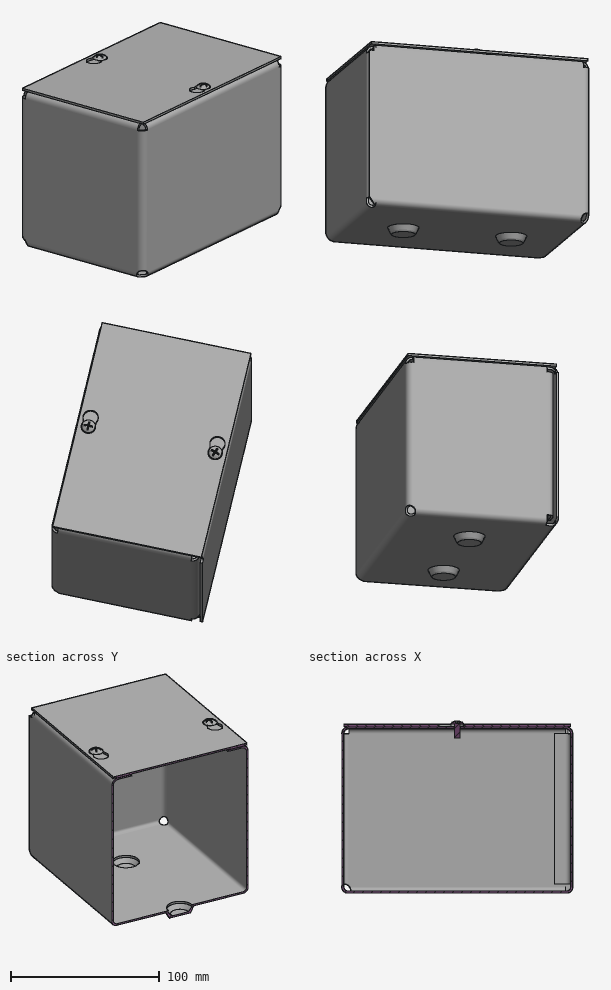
import cadquery as cq
import math

box_width = 104.9
box_length = 155.5
box_height = 112.2
sheet = 1.5
bend_radius = 4.8
bottom_bend_radius = 4.0
rim_width = 15.5
half_width = box_width / 2
half_length = box_length / 2

relief_radius = 4.7
relief_inset = 1.5
relief_top = relief_inset + relief_radius

tab_inset = 3.0
tab_length = 12.5
seam_top_notch = 3.1
seam_bottom_notch_length = 4.0
seam_bottom_notch_height = 5.1

foot_spacing = 75.9
foot_height = 4.7
foot_base_radius = 10.6
foot_edge_radius = 8.7
foot_tip_radius = 8.0
foot_tip_chamfer = 1.0
foot_wall = 1.5

cover_width = 102.7
cover_length = 152.5
cover_thickness = 1.5
keyhole_diameter = 10.3
keyhole_slot_width = 8.7
keyhole_travel = 7.0
cover_top = box_height + cover_thickness

screw_spacing = 87.5
head_diameter = 9.8
head_height = 2.3
shank_diameter = 3.7
shank_length = 9.3
recess_length = 5.8
recess_width = 0.8
recess_depth = 1.5
left_screw_angle = -20.0
right_screw_angle = 0.0
screw_positions = (-screw_spacing / 2, screw_spacing / 2)
recess_angles = (left_screw_angle, right_screw_angle)


def block(x_range, y_range, z_range):
    """Box between pairs of limits along X, Y and Z."""
    size = [max(limits) - min(limits) for limits in (x_range, y_range, z_range)]
    corner = (min(x_range), min(y_range), min(z_range))
    return cq.Workplane("XY").box(*size, centered=False).translate(corner)


def rounded_block(inset):
    """Box envelope shrunk by inset, all edges rounded except the vertical (-X, +Y) seam edge."""
    return (
        cq.Workplane("XY", origin=(0, 0, inset))
        .box(
            box_width - 2 * inset,
            box_length - 2 * inset,
            box_height - 2 * inset,
            centered=(True, True, False),
        )
        .edges("(|Z and (>X or <Y)) or >Z")
        .fillet(bend_radius - inset)
        .edges("<Z")
        .fillet(bottom_bend_radius - inset)
    )


def top_corner_notch(side_x, side_y):
    """Square notch that separates the three bends at a top corner."""
    return block(
        (side_x * (half_width - bend_radius), side_x * half_width),
        (side_y * (half_length - bend_radius), side_y * half_length),
        (box_height - bend_radius, box_height),
    )


def bottom_corner_relief(side_x, side_y):
    """Round relief through the three sheets that meet at a bottom corner."""
    centre = (
        side_x * (half_width - relief_inset),
        side_y * (half_length - relief_inset),
        relief_inset,
    )
    return cq.Workplane("XY").sphere(relief_radius).translate(centre)


def cut_corners(box):
    """Separate the bends at every corner except those on the open seam."""
    for side_x, side_y in [(-1, -1), (1, -1), (1, 1)]:
        box = box.cut(top_corner_notch(side_x, side_y))
        box = box.cut(bottom_corner_relief(side_x, side_y))
    return box


def open_seam(box):
    """Free the back wall from the -X wall and notch the ends of the -X wall."""
    wall_inner_x = -half_width + sheet
    tab_bend_end_x = -half_width + tab_inset + bend_radius
    bend_start_y = half_length - bend_radius
    gap = block((wall_inner_x, tab_bend_end_x), (bend_start_y, half_length), (0, box_height))
    top_notch = block(
        (-half_width, tab_bend_end_x),
        (half_length - seam_top_notch, half_length),
        (box_height - bend_radius, box_height),
    )
    bottom_notch = (
        cq.Workplane("YZ", origin=(-half_width, 0, 0))
        .moveTo(half_length, 0)
        .lineTo(half_length, seam_bottom_notch_height)
        .lineTo(half_length - seam_bottom_notch_length, 0)
        .close()
        .extrude(bend_radius)
    )
    return box.cut(gap).cut(top_notch).cut(bottom_notch)


def seam_tab():
    """Tab bent forward from the back wall, just inside the -X wall."""
    tab_x = -half_width + tab_inset
    bend_end_x = tab_x + bend_radius
    bend_start_y = half_length - bend_radius
    tab_end_y = half_length - tab_length
    tab_height = box_height - bend_radius - relief_top
    mid_bend = bend_radius * math.sqrt(0.5)
    inner_mid_bend = (bend_radius - sheet) * math.sqrt(0.5)
    return (
        cq.Workplane("XY", origin=(0, 0, relief_top))
        .moveTo(bend_end_x, half_length)
        .threePointArc((bend_end_x - mid_bend, bend_start_y + mid_bend), (tab_x, bend_start_y))
        .lineTo(tab_x, tab_end_y)
        .lineTo(tab_x + sheet, tab_end_y)
        .lineTo(tab_x + sheet, bend_start_y)
        .threePointArc(
            (bend_end_x - inner_mid_bend, bend_start_y + inner_mid_bend),
            (bend_end_x, half_length - sheet),
        )
        .close()
        .extrude(tab_height)
    )


def foot_cone(base_radius, edge_radius, tip_radius, tip_z):
    """Tapered plug from the floor's inner face down to tip_z, with a chamfered tip."""
    return (
        cq.Workplane("XZ")
        .moveTo(0, sheet)
        .lineTo(base_radius, sheet)
        .lineTo(base_radius, 0)
        .lineTo(edge_radius, tip_z + foot_tip_chamfer)
        .lineTo(tip_radius, tip_z)
        .lineTo(0, tip_z)
        .close()
        .revolve(360, (0, 0, 0), (0, 1, 0))
    )


def press_feet(box):
    """Add both feet on the length centreline, open towards the inside of the box."""
    outside = foot_cone(foot_base_radius, foot_edge_radius, foot_tip_radius, -foot_height)
    inside = foot_cone(
        foot_base_radius - foot_wall,
        foot_edge_radius - foot_wall,
        foot_tip_radius - foot_wall,
        -foot_height + foot_wall,
    )
    for foot_y in (-foot_spacing / 2, foot_spacing / 2):
        box = box.union(outside.translate((0, foot_y, 0)))
        box = box.cut(inside.translate((0, foot_y, 0)))
    return box


def screw_shank(screw_x):
    """Shank cylinder, also the shape of its hole in the box rim."""
    return (
        cq.Workplane("XY", origin=(screw_x, 0, cover_top - shank_length))
        .circle(shank_diameter / 2)
        .extrude(shank_length)
    )


def make_box():
    """Folded box with an inward rim around its top opening."""
    opening = (
        cq.Workplane("XY", origin=(0, 0, box_height - sheet))
        .rect(box_width - 2 * rim_width, box_length - 2 * rim_width)
        .extrude(sheet)
    )
    box = rounded_block(0).cut(rounded_block(sheet)).cut(opening)
    box = cut_corners(box)
    box = open_seam(box).union(seam_tab())
    box = press_feet(box)
    for screw_x in screw_positions:
        box = box.cut(screw_shank(screw_x))
    return box


def keyhole(screw_x):
    """Slot at the screw that opens into a hole large enough for the screw head."""
    plane = cq.Workplane("XY", origin=(screw_x, 0, box_height))
    slot_end = plane.circle(keyhole_slot_width / 2).extrude(cover_thickness)
    slot = (
        plane.center(0, -keyhole_travel / 2)
        .rect(keyhole_slot_width, keyhole_travel)
        .extrude(cover_thickness)
    )
    head_hole = (
        plane.center(0, -keyhole_travel)
        .circle(keyhole_diameter / 2)
        .extrude(cover_thickness)
    )
    return slot_end.union(slot).union(head_hole)


def make_cover():
    """Flat plate lying on the rim of the box."""
    cover = (
        cq.Workplane("XY", origin=(0, 0, box_height))
        .rect(cover_width, cover_length)
        .extrude(cover_thickness)
    )
    for screw_x in screw_positions:
        cover = cover.cut(keyhole(screw_x))
    return cover


def make_screw(screw_x, recess_angle):
    """Domed head resting on the cover, cross recess, and shank down through the rim."""
    head_radius = head_diameter / 2
    dome_radius = (head_radius**2 + head_height**2) / (2 * head_height)
    dome_centre_z = cover_top + head_height - dome_radius
    dome = cq.Workplane("XY", origin=(screw_x, 0, dome_centre_z)).sphere(dome_radius)
    head = (
        cq.Workplane("XY", origin=(screw_x, 0, cover_top))
        .circle(head_radius)
        .extrude(head_height)
        .intersect(dome)
    )
    recess_plane = cq.Workplane("XY", origin=(screw_x, 0, cover_top + head_height - recess_depth))
    screw = head.union(screw_shank(screw_x))
    for arm_angle in (recess_angle, recess_angle + 90):
        arm = recess_plane.transformed(rotate=(0, 0, arm_angle)).rect(recess_length, recess_width)
        screw = screw.cut(arm.extrude(recess_depth))
    return screw


box = make_box()
cover = make_cover()
screws = [make_screw(x, angle) for x, angle in zip(screw_positions, recess_angles)]

result = cq.Compound.makeCompound([
    box.val(),
    cover.val(),
    *[screw.val() for screw in screws],
])